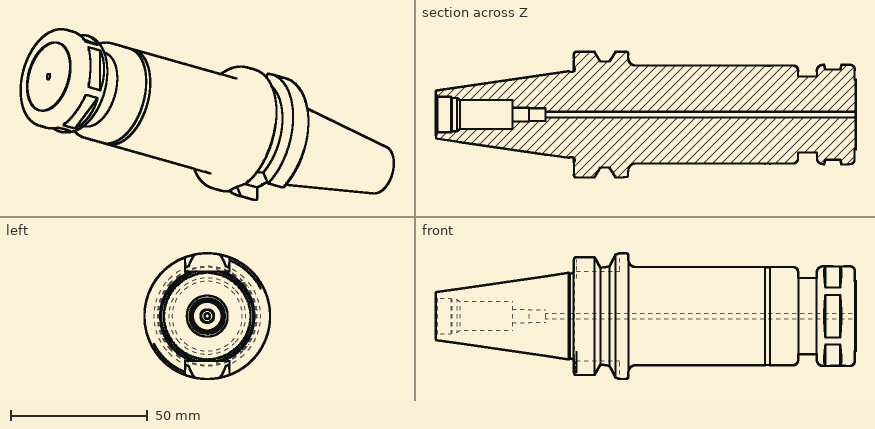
import cadquery as cq
import math


GAUGE_DIA = 31.75
TAPER_RATE = 7 / 24
SHANK_LENGTH = 48.4
SHANK_END_FILLET = 0.6
RELIEF_DIA = 31.2
RELIEF_START = 0.7

FLANGE_DIA = 46.0
FLANGE_START = 2.0
FLANGE_END = 22.0
FLANGE_EDGE_FILLET = 1.0
UNDERCUT_DIA = 34.5
UNDERCUT_DEPTH = 0.35
UNDERCUT_FILLET = 1.2
UNDERCUT_START = FLANGE_START + UNDERCUT_DEPTH - UNDERCUT_FILLET
GROOVE_DIA = 38.9
GROOVE_TOP_START = 9.6
GROOVE_FLOOR_START = 11.75
GROOVE_FLOOR_END = 15.05
GROOVE_TOP_END = 17.3

KEYWAY_WIDTH = 16.1
KEYWAY_END = 18.75
KEYWAY_FLOOR = 16.35

BODY_DIA = 36.0
BODY_END = 84.0
BODY_ROOT_FILLET = 2.5
BODY_END_FILLET = 2.0
BAND_START = 71.8
BAND_END = 73.7
BAND_DEPTH = 0.1
NECK_DIA = 28.0

NUT_DIA = 36.5
NUT_START = 90.7
NUT_SHOULDER = 104.7
NOSE_DIA = 25.6
NOSE_END = 105.0
NUT_REAR_FILLET = 2.4
NUT_FRONT_FILLET = 1.9
FLAT_COUNT = 6
FLAT_APOTHEM = 16.5
FLAT_START = 93.9
FLAT_END = 99.3
FLAT_WALL_ANGLE = 15.0

BORE_MOUTH_DIA = 15.0
MOUTH_CHAMFER_DEPTH = 0.6
PILOT_DIA = 12.9
PILOT_DEPTH = 5.5
RECESS_DIA = 12.0
RECESS_START = 6.0
RECESS_END = 7.8
THREAD_DIA = 10.5
THREAD_START = 8.8
THREAD_END = 28.0
STEP_HOLE_DIA = 5.0
STEP_HOLE_END = 34.0
FEED_HOLE_DIA = 4.5
FEED_HOLE_END = 40.0
COOLANT_DIA = 2.0


def revolve_about_x(profile):
    return profile.close().revolve(360, (0, 0, 0), (1, 0, 0))


def disc(start, end, dia):
    return cq.Workplane("YZ", origin=(start, 0, 0)).circle(dia / 2).extrude(end - start)


def fillet_ring(solid, x, dia, radius):
    """Fillet the circular edge of the given diameter that lies at x."""
    margin = 0.01
    reach = dia / 2 + margin
    within_ring = cq.selectors.BoxSelector(
        (x - margin, -reach, -reach), (x + margin, reach, reach), boundingbox=True
    )
    outermost = cq.selectors.RadiusNthSelector(-1)
    return solid.edges(within_ring).edges(outermost).fillet(radius)


def make_shank():
    small_radius = (GAUGE_DIA - SHANK_LENGTH * TAPER_RATE) / 2
    relief_radius = RELIEF_DIA / 2
    shank = revolve_about_x(
        cq.Workplane("XY")
        .moveTo(-SHANK_LENGTH, 0)
        .lineTo(-SHANK_LENGTH, small_radius)
        .lineTo(0, GAUGE_DIA / 2)
        .lineTo(RELIEF_START, relief_radius)
        .lineTo(UNDERCUT_START, relief_radius)
        .lineTo(UNDERCUT_START, 0)
    )
    return shank.faces("<X").edges().fillet(SHANK_END_FILLET)


def make_flange_and_body():
    relief_radius = RELIEF_DIA / 2
    flange_radius = FLANGE_DIA / 2
    groove_radius = GROOVE_DIA / 2
    body_radius = BODY_DIA / 2
    band_radius = body_radius - BAND_DEPTH
    neck_radius = NECK_DIA / 2
    body = revolve_about_x(
        cq.Workplane("XY")
        .moveTo(UNDERCUT_START, 0)
        .lineTo(UNDERCUT_START, relief_radius)
        .radiusArc((FLANGE_START + UNDERCUT_DEPTH, relief_radius + UNDERCUT_FILLET), -UNDERCUT_FILLET)
        .lineTo(FLANGE_START, UNDERCUT_DIA / 2)
        .lineTo(FLANGE_START, flange_radius)
        .lineTo(GROOVE_TOP_START, flange_radius)
        .lineTo(GROOVE_FLOOR_START, groove_radius)
        .lineTo(GROOVE_FLOOR_END, groove_radius)
        .lineTo(GROOVE_TOP_END, flange_radius)
        .lineTo(FLANGE_END, flange_radius)
        .lineTo(FLANGE_END, body_radius)
        .lineTo(BAND_START, body_radius)
        .lineTo(BAND_START, band_radius)
        .lineTo(BAND_END, band_radius)
        .lineTo(BAND_END, body_radius)
        .lineTo(BODY_END, body_radius)
        .lineTo(BODY_END, neck_radius)
        .lineTo(NUT_START, neck_radius)
        .lineTo(NUT_START, 0)
    )
    body = fillet_ring(body, FLANGE_START, FLANGE_DIA, FLANGE_EDGE_FILLET)
    body = fillet_ring(body, FLANGE_END, FLANGE_DIA, FLANGE_EDGE_FILLET)
    body = fillet_ring(body, FLANGE_END, BODY_DIA, BODY_ROOT_FILLET)
    return fillet_ring(body, BODY_END, BODY_DIA, BODY_END_FILLET)


def make_keyway(side):
    """Cutter for one drive keyway; side is +1 for the +Z keyway and -1 for the -Z one."""
    half_width = KEYWAY_WIDTH / 2
    arc_centre = KEYWAY_END - half_width
    return (
        cq.Workplane("XY", origin=(0, 0, side * KEYWAY_FLOOR))
        .moveTo(0, -half_width)
        .lineTo(arc_centre, -half_width)
        .threePointArc((KEYWAY_END, 0), (arc_centre, half_width))
        .lineTo(0, half_width)
        .close()
        .extrude(side * FLANGE_DIA / 2)
    )


def make_flat_cutter():
    """Cutter for the wrench flat facing +Y, with end walls that lean outwards."""
    depth = NUT_DIA - FLAT_APOTHEM
    lean = depth * math.tan(math.radians(FLAT_WALL_ANGLE))
    return (
        cq.Workplane("XY")
        .moveTo(FLAT_START, FLAT_APOTHEM)
        .lineTo(FLAT_END, FLAT_APOTHEM)
        .lineTo(FLAT_END + lean, FLAT_APOTHEM + depth)
        .lineTo(FLAT_START - lean, FLAT_APOTHEM + depth)
        .close()
        .extrude(NUT_DIA / 2, both=True)
    )


def make_nut():
    nut = disc(NUT_START, NUT_SHOULDER, NUT_DIA)
    nut = nut.faces("<X").edges().fillet(NUT_REAR_FILLET)
    nut = nut.faces(">X").edges().fillet(NUT_FRONT_FILLET)
    flat_cutter = make_flat_cutter()
    for index in range(FLAT_COUNT):
        angle = index * 360 / FLAT_COUNT
        nut = nut.cut(flat_cutter.rotate((0, 0, 0), (1, 0, 0), angle))
    return nut.union(disc(NUT_SHOULDER, NOSE_END, NOSE_DIA))


def make_bore():
    bore_steps = (
        (0, BORE_MOUTH_DIA),
        (MOUTH_CHAMFER_DEPTH, PILOT_DIA),
        (PILOT_DEPTH, PILOT_DIA),
        (RECESS_START, RECESS_DIA),
        (RECESS_END, RECESS_DIA),
        (THREAD_START, THREAD_DIA),
        (THREAD_END, THREAD_DIA),
        (THREAD_END, STEP_HOLE_DIA),
        (STEP_HOLE_END, STEP_HOLE_DIA),
        (STEP_HOLE_END, FEED_HOLE_DIA),
        (FEED_HOLE_END, FEED_HOLE_DIA),
        (FEED_HOLE_END, COOLANT_DIA),
    )
    profile = cq.Workplane("XY").moveTo(-SHANK_LENGTH, 0)
    for depth, dia in bore_steps:
        profile = profile.lineTo(depth - SHANK_LENGTH, dia / 2)
    profile = profile.lineTo(NOSE_END, COOLANT_DIA / 2).lineTo(NOSE_END, 0)
    return revolve_about_x(profile)


holder = make_shank().union(make_flange_and_body())
for keyway_side in (1, -1):
    holder = holder.cut(make_keyway(keyway_side))
result = holder.union(make_nut()).cut(make_bore())